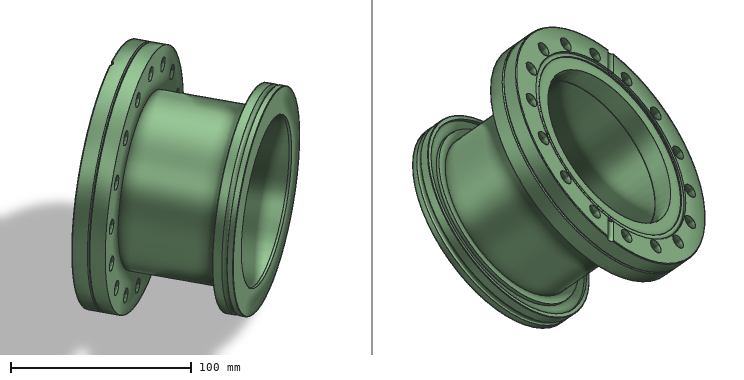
import cadquery as cq

total_length = 90.0

tube_outer_radius = 102.1 / 2
tube_inner_radius = 98.0 / 2
tube_start = 13.0

bolted_radius = 152.4 / 2
bolted_thickness = 19.5
bolted_bore_radius = 98.6 / 2
bolted_edge_chamfer = 0.5
rim_groove_center = 9.9
rim_groove_width = 1.4
rim_groove_depth = rim_groove_width / 2

recess_radius = 60.2
recess_depth = 1.2
knife_foot_radius = 59.7
knife_crest_radius = 57.3
knife_height = 0.8

bolt_count = 16
bolt_circle_radius = 130.0 / 2
bolt_hole_diameter = 8.4
slot_width = 4.3
slot_depth = 1.5

clamp_radius = 130.0 / 2
clamp_thickness = 12.0
clamp_edge_chamfer = 0.3
clamp_start = total_length - clamp_thickness
socket_floor_thickness = 1.5
tube_end = total_length - socket_floor_thickness
clamp_groove_center = 85.0
clamp_groove_radius = 1.5
relief_inner_radius = 112.3 / 2
relief_outer_radius = 125 / 2
relief_depth = 2.0


def ring(x_start, x_end, outer_radius, inner_radius):
    """Plain ring about the X axis between two X positions."""
    profile = cq.Workplane("YZ", origin=(x_start, 0, 0)).circle(outer_radius).circle(inner_radius)
    return profile.extrude(x_end - x_start)


def revolve_about_x(profile):
    """Turn a closed profile, drawn with X along the axis and Y as radius, about the X axis."""
    return profile.close().revolve(360, (0, 0, 0), (1, 0, 0))


def bolted_flange_blank():
    """Turned flange with a chamfered front edge, V groove in the rim and knife-edge recess."""
    knife_crest_x = recess_depth - knife_height
    profile = (
        cq.Workplane("XY")
        .moveTo(recess_depth, bolted_bore_radius)
        .lineTo(recess_depth, knife_crest_radius)
        .lineTo(knife_crest_x, knife_crest_radius)
        .lineTo(recess_depth, knife_foot_radius)
        .lineTo(recess_depth, recess_radius)
        .lineTo(0, recess_radius)
        .lineTo(0, bolted_radius - bolted_edge_chamfer)
        .lineTo(bolted_edge_chamfer, bolted_radius)
        .lineTo(rim_groove_center - rim_groove_width / 2, bolted_radius)
        .lineTo(rim_groove_center, bolted_radius - rim_groove_depth)
        .lineTo(rim_groove_center + rim_groove_width / 2, bolted_radius)
        .lineTo(bolted_thickness, bolted_radius)
        .lineTo(bolted_thickness, tube_outer_radius)
        .lineTo(tube_start, tube_outer_radius)
        .lineTo(tube_start, bolted_bore_radius)
    )
    return revolve_about_x(profile)


def bolt_holes():
    """Through holes on the bolt circle, straddling the Y and Z axes."""
    half_pitch = 180 / bolt_count
    return (
        cq.Workplane("YZ")
        .polarArray(bolt_circle_radius, half_pitch, 360, bolt_count)
        .circle(bolt_hole_diameter / 2)
        .extrude(bolted_thickness)
    )


def leak_test_slot(side):
    """Round-bottomed radial slot from the recess to the rim; side is +1 (up) or -1 (down)."""
    slot_radius = ((slot_width / 2) ** 2 + slot_depth**2) / (2 * slot_depth)
    return (
        cq.Workplane("XY", origin=(0, 0, side * recess_radius))
        .center(slot_depth - slot_radius, 0)
        .circle(slot_radius)
        .extrude(side * (bolted_radius - recess_radius))
    )


def make_bolted_flange():
    flange = bolted_flange_blank().cut(bolt_holes())
    for side in (1, -1):
        flange = flange.cut(leak_test_slot(side))
    return flange


def make_tube():
    return ring(tube_start, tube_end, tube_outer_radius, tube_inner_radius)


def make_clamp_flange():
    """Flange with a round rim groove, a relief groove in its back face and a socket for the tube."""
    body = ring(clamp_start, total_length, clamp_radius, tube_inner_radius)
    body = body.faces("<X or >X").edges(cq.selectors.RadiusNthSelector(-1)).chamfer(clamp_edge_chamfer)
    socket = ring(clamp_start, tube_end, tube_outer_radius, tube_inner_radius)
    relief = ring(clamp_start, clamp_start + relief_depth, relief_outer_radius, relief_inner_radius)
    rim_groove = cq.Workplane(
        cq.Solid.makeTorus(
            clamp_radius, clamp_groove_radius, cq.Vector(clamp_groove_center, 0, 0), cq.Vector(1, 0, 0)
        )
    )
    return body.cut(socket).cut(relief).cut(rim_groove)


bolted_flange = make_bolted_flange()
tube = make_tube()
clamp_flange = make_clamp_flange()

result = cq.Compound.makeCompound([bolted_flange.val(), tube.val(), clamp_flange.val()])